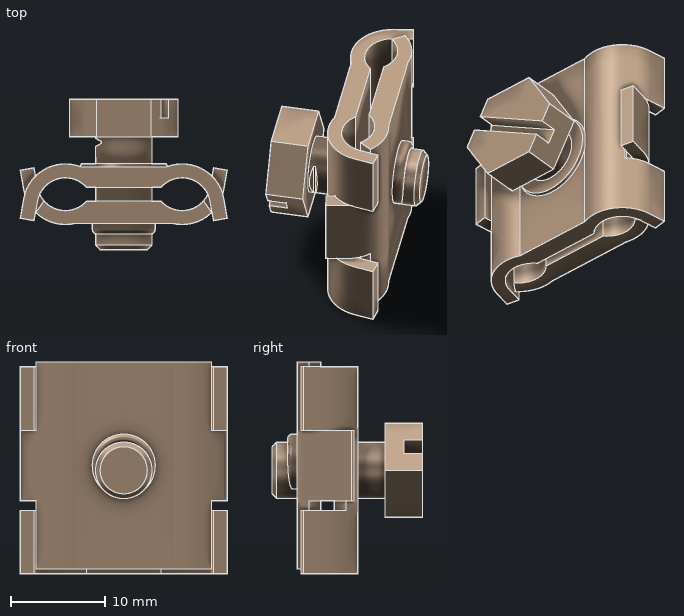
import cadquery as cq
import math


shank_radius = 3.0
shank_length = 12.0
tip_chamfer = 0.5
head_sides = 6
head_across_flats = 10.0
head_height = 4.0
head_seat_y = 6.1
slot_width = 1.6
slot_depth = 2.0
slot_angle = 30.0
nick_depth = 0.6
nick_width = 0.86
nick_floor_width = 0.2
nick_offset = 0.6

sheet = 1.5
curl_outer_radius = 4.5
curl_inner_radius = curl_outer_radius - sheet
curl_x = 6.2
curl_drop = 1.27
gap_half = 0.72
leg_length = 2.1
leg_angle = 10.0
plate_height = 22.0

cut_outer_angle = 44.2
cut_inner_angle = 49.0

back_face_y = 2.9
window_height = 8.5
pad_base_radius = 4.65
pad_top_radius = 4.5
pad_height = 0.35

front_shift_z = 0.5
front_face_y = 3.11
front_leg_height = 7.5
collar_radius = 3.35
collar_height = 1.12
collar_bead_radius = 0.5


def curl_point(radius, angle):
    """Point on the right-hand curl, the angle running from the crest towards +X."""
    turn = math.radians(angle)
    return (curl_x + radius * math.sin(turn), -curl_drop + radius * math.cos(turn))


def flat_angle(radius, y):
    """Angle (negative, inboard of the crest) at which a curl circle meets height y."""
    return -math.degrees(math.acos((y + curl_drop) / radius))


def arc_points(radius, start, end):
    """Start, middle and end of a stretch of the curl."""
    return [curl_point(radius, angle) for angle in (start, (start + end) / 2, end)]


def leg_end(radius):
    """Corner at the tip of the straight leg that leaves the curl circle along its tangent."""
    lean = math.radians(leg_angle)
    x, y = curl_point(radius, 90.0 - leg_angle)
    return (x + leg_length * math.sin(lean), y - leg_length * math.cos(lean))


def mirrored(point):
    """Point reflected to the -X side."""
    return (-point[0], point[1])


def plate_section(face_y, with_legs, z_low, z_high):
    """Slice of a plate curled towards -Y, its curls ending in straight legs or cut short."""
    outer_start = flat_angle(curl_outer_radius, face_y)
    inner_start = flat_angle(curl_inner_radius, gap_half)
    if with_legs:
        outer_end = inner_end = 90.0 - leg_angle
        leg = [leg_end(curl_outer_radius), leg_end(curl_inner_radius)]
    else:
        outer_end = cut_outer_angle
        inner_end = cut_inner_angle
        leg = []

    outer = arc_points(curl_outer_radius, outer_start, outer_end)
    inner = arc_points(curl_inner_radius, inner_end, inner_start)

    outline = cq.Workplane("XY", origin=(0, 0, z_low))
    outline = outline.moveTo(*mirrored(outer[0])).lineTo(*outer[0])
    outline = outline.threePointArc(outer[1], outer[2])
    for point in leg + [inner[0]]:
        outline = outline.lineTo(*point)
    outline = outline.threePointArc(inner[1], inner[2])
    outline = outline.lineTo(*mirrored(inner[2]))
    outline = outline.threePointArc(mirrored(inner[1]), mirrored(inner[0]))
    for point in leg[::-1] + [outer[2]]:
        outline = outline.lineTo(*mirrored(point))
    outline = outline.threePointArc(mirrored(outer[1]), mirrored(outer[0]))
    return outline.close().extrude(z_high - z_low)


def cylinder_y(radius, y_low, y_high, z=0.0):
    """Cylinder along Y."""
    return cq.Workplane("XZ", origin=(0, y_low, z)).circle(radius).extrude(y_low - y_high)


def bolt_hole():
    """Clearance for the bolt shank through both plates."""
    return cylinder_y(shank_radius, -plate_height, plate_height)


def make_back_plate():
    """Plate on the bolt-head side, with a round pad facing the head."""
    half = plate_height / 2
    window = window_height / 2
    plate = plate_section(back_face_y, with_legs=False, z_low=-window, z_high=window)
    for z_low, z_high in ((-half, -window), (window, half)):
        plate = plate.union(plate_section(back_face_y, with_legs=True, z_low=z_low, z_high=z_high))
    pad = cq.Solid.makeCone(
        pad_base_radius,
        pad_top_radius,
        pad_height,
        cq.Vector(0, back_face_y, 0),
        cq.Vector(0, 1, 0),
    )
    plate = plate.union(cq.Workplane(pad))
    return plate.cut(bolt_hole())


def make_collar():
    """Collar around the bolt on the front plate, a little above the bolt axis, with a beaded end."""
    bead_y = -front_face_y - collar_height + collar_bead_radius
    bead_circle_radius = collar_radius - collar_bead_radius
    wall = cylinder_y(collar_radius, bead_y, -gap_half, front_shift_z)
    bead = cq.Solid.makeTorus(
        bead_circle_radius,
        collar_bead_radius,
        cq.Vector(0, bead_y, front_shift_z),
        cq.Vector(0, 1, 0),
    )
    return wall.union(cq.Workplane(bead))


def make_front_plate():
    """Plate on the bolt-tip side; its legs reach through the window of the back plate."""
    half = plate_height / 2
    leg_half = front_leg_height / 2
    plate = plate_section(front_face_y, with_legs=True, z_low=-leg_half, z_high=leg_half)
    for z_low, z_high in ((-half, -leg_half), (leg_half, half)):
        plate = plate.union(plate_section(front_face_y, with_legs=False, z_low=z_low, z_high=z_high))
    plate = plate.mirror("XZ").translate((0, 0, front_shift_z))
    return plate.union(make_collar()).cut(bolt_hole())


def make_bolt():
    """Slotted hexagon bolt with a small nick in the shank under the head."""
    shank = cylinder_y(shank_radius, head_seat_y - shank_length, head_seat_y)
    shank = shank.faces("<Y").chamfer(tip_chamfer)

    head_top_y = head_seat_y + head_height
    across_corners = head_across_flats / math.cos(math.pi / head_sides)
    head = (
        cq.Workplane("XZ", origin=(0, head_top_y, 0))
        .polygon(head_sides, across_corners)
        .extrude(head_height)
    )
    slot = (
        cq.Workplane("XZ", origin=(0, head_top_y, 0))
        .transformed(rotate=(0, 0, slot_angle))
        .rect(2 * across_corners, slot_width)
        .extrude(slot_depth)
    )

    nick_y = head_seat_y - nick_offset
    nick = (
        cq.Workplane("XY")
        .polyline([
            (-shank_radius, nick_y - nick_width / 2),
            (-shank_radius + nick_depth, nick_y - nick_floor_width / 2),
            (-shank_radius + nick_depth, nick_y + nick_floor_width / 2),
            (-shank_radius, nick_y + nick_width / 2),
        ])
        .close()
        .extrude(shank_radius, both=True)
    )
    return shank.cut(nick).union(head.cut(slot))


back_plate = make_back_plate()
front_plate = make_front_plate()
bolt = make_bolt()

result = cq.Compound.makeCompound([body.solids().val() for body in (back_plate, front_plate, bolt)])